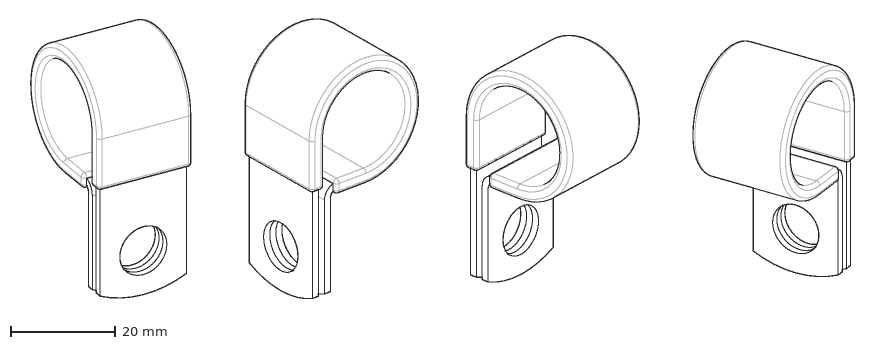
import cadquery as cq
import math

bore_radius = 10.3175
edge_radius = 0.79375
strap_thickness = 1.52
strap_width = 19.05
cushion_thickness = strap_thickness + 2 * edge_radius
cushion_width = strap_width + 2 * edge_radius
cushion_radius = bore_radius + cushion_thickness
lower_leg_length = 7.45
side_leg_length = 11.15

strap_inner_radius = bore_radius + edge_radius
strap_outer_radius = strap_inner_radius + strap_thickness
tab_gap = 1.5
bend_inner_radius = 1.4
bend_outer_radius = bend_inner_radius + strap_thickness
tab_bottom = -36.495
tab_end_radius = 22.225
hole_diameter = 10.31875
hole_end_distance = 9.525
hole_height = tab_bottom + hole_end_distance

ring_middle_angle = 135
bend_middle_angle = 45

inner_tab_outside = strap_inner_radius - tab_gap
inner_tab_inside = inner_tab_outside - strap_thickness
bend_x = inner_tab_outside - bend_outer_radius
bend_z = -strap_inner_radius - bend_outer_radius


def on_arc(center_x, center_z, radius, degrees):
    """Point in the XZ plane at an angle measured from +X towards +Z."""
    angle = math.radians(degrees)
    return center_x + radius * math.cos(angle), center_z + radius * math.sin(angle)


def extrude_across(profile, width):
    """Extrude an XZ profile symmetrically along Y."""
    return profile.extrude(width / 2, both=True)


def make_cushion():
    """Three-quarter ring with two straight legs, with every edge rounded."""
    profile = (
        cq.Workplane("XZ")
        .moveTo(cushion_radius, -side_leg_length)
        .lineTo(cushion_radius, 0)
        .threePointArc(on_arc(0, 0, cushion_radius, ring_middle_angle), (0, -cushion_radius))
        .lineTo(lower_leg_length, -cushion_radius)
        .lineTo(lower_leg_length, -bore_radius)
        .lineTo(0, -bore_radius)
        .threePointArc(on_arc(0, 0, bore_radius, ring_middle_angle), (bore_radius, 0))
        .lineTo(bore_radius, -side_leg_length)
        .close()
    )
    return extrude_across(profile, cushion_width).edges().fillet(edge_radius)


def make_strap():
    """Bent strip through the middle of the cushion, ending in the two tabs."""
    bend_inner_middle = on_arc(bend_x, bend_z, bend_inner_radius, bend_middle_angle)
    bend_outer_middle = on_arc(bend_x, bend_z, bend_outer_radius, bend_middle_angle)
    profile = (
        cq.Workplane("XZ")
        .moveTo(strap_outer_radius, tab_bottom)
        .lineTo(strap_outer_radius, 0)
        .threePointArc(on_arc(0, 0, strap_outer_radius, ring_middle_angle), (0, -strap_outer_radius))
        .lineTo(bend_x, -strap_outer_radius)
        .threePointArc(bend_inner_middle, (inner_tab_inside, bend_z))
        .lineTo(inner_tab_inside, tab_bottom)
        .lineTo(inner_tab_outside, tab_bottom)
        .lineTo(inner_tab_outside, bend_z)
        .threePointArc(bend_outer_middle, (bend_x, -strap_inner_radius))
        .lineTo(0, -strap_inner_radius)
        .threePointArc(on_arc(0, 0, strap_inner_radius, ring_middle_angle), (strap_inner_radius, 0))
        .lineTo(strap_inner_radius, tab_bottom)
        .close()
    )
    return extrude_across(profile, strap_width)


def make_tab_outline():
    """Block along X whose outline rounds the lower ends of both tabs."""
    half_width = strap_width / 2
    end_rise = tab_end_radius - math.sqrt(tab_end_radius**2 - half_width**2)
    return (
        cq.Workplane("YZ")
        .moveTo(-half_width, cushion_radius)
        .lineTo(-half_width, tab_bottom + end_rise)
        .threePointArc((0, tab_bottom), (half_width, tab_bottom + end_rise))
        .lineTo(half_width, cushion_radius)
        .close()
        .extrude(cushion_radius, both=True)
    )


def make_tab_hole():
    """Bolt hole along X through both tabs."""
    return (
        cq.Workplane("YZ")
        .center(0, hole_height)
        .circle(hole_diameter / 2)
        .extrude(cushion_radius)
    )


strap = make_strap().intersect(make_tab_outline()).cut(make_tab_hole())
result = make_cushion().union(strap)